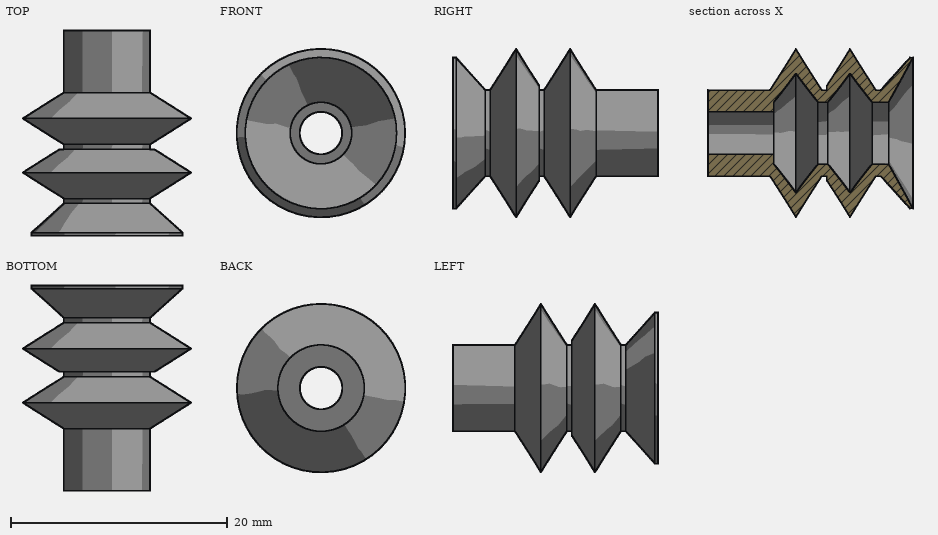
import cadquery as cq


total_length = 19.0
stem_radius = 4.0
bore_radius = 1.95

lip_radius = 7.0
lip_edge_height = 0.3
lip_height = 3.0
lip_cavity_depth = 2.27

fold_radius = 7.8
fold_pitch = 5.0
fold_half_length = 2.4
neck_length = 0.45
first_fold_start = lip_height + neck_length
first_fold_peak = first_fold_start + fold_half_length
first_fold_end = lip_height + fold_pitch
second_fold_start = first_fold_start + fold_pitch
second_fold_peak = first_fold_peak + fold_pitch
second_fold_end = second_fold_peak + fold_half_length

fold_slope = (fold_radius - stem_radius) / fold_half_length
first_fold_end_radius = fold_radius - fold_slope * (first_fold_end - first_fold_peak)

throat_radius = 2.85
throat_length = 1.54
throat_end = lip_cavity_depth + throat_length
cavity_fold_radius = 5.5
cavity_half_length = first_fold_peak - throat_end


def revolve_about_y(profile_points):
    """Revolve a closed (radius, Y) profile a full turn about the Y axis."""
    profile = cq.Workplane("XY").polyline(profile_points).close()
    return profile.revolve(360, (0, 0, 0), (0, 1, 0))


def make_outer_body():
    return revolve_about_y([
        (0, 0),
        (lip_radius, 0),
        (lip_radius, lip_edge_height),
        (stem_radius, lip_height),
        (stem_radius, first_fold_start),
        (fold_radius, first_fold_peak),
        (first_fold_end_radius, first_fold_end),
        (stem_radius, first_fold_end),
        (stem_radius, second_fold_start),
        (fold_radius, second_fold_peak),
        (stem_radius, second_fold_end),
        (stem_radius, total_length),
        (0, total_length),
    ])


def make_cavity():
    """Lip cone, throat, one widening inside each fold, then the stem bore."""
    points = [(0, 0), (lip_radius, 0), (throat_radius, lip_cavity_depth)]
    for peak in (first_fold_peak, second_fold_peak):
        points += [
            (throat_radius, peak - cavity_half_length),
            (cavity_fold_radius, peak),
            (throat_radius, peak + cavity_half_length),
        ]
    shoulder = second_fold_peak + cavity_half_length
    points += [(bore_radius, shoulder), (bore_radius, total_length), (0, total_length)]
    return revolve_about_y(points)


result = make_outer_body().cut(make_cavity())